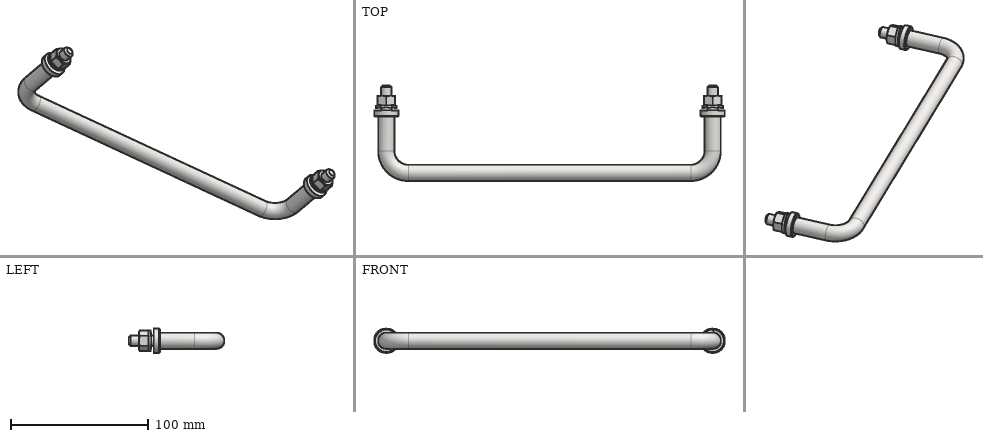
import cadquery as cq
import math


overall_length = 256.0
overall_depth = 70.0
rod_diameter = 12.0
bend_radius = 16.0
stud_diameter = 8.0
stud_chamfer = 1.5

collar_diameter = 18.0
collar_height = 4.5
collar_chamfer = 0.8

nut_across_flats = 13.0
nut_height = 7.0
stud_projection = 7.5
nut_face_diameter = 12.3
nut_chamfer_angle = 30.0

washer_diameter = 15.0
washer_thickness = 1.8
washer_sag = 0.5

leg_offset = (overall_length - collar_diameter) / 2
stud_tip_y = overall_depth - rod_diameter / 2
nut_top_y = stud_tip_y - stud_projection
nut_base_y = nut_top_y - nut_height
collar_base_y = 41.0


def leg_plane(x, y):
    """Plane across a leg, with its normal along +Y and its local x along +X."""
    return cq.Plane(origin=(x, y, 0), xDir=(1, 0, 0), normal=(0, 1, 0))


def make_handle():
    """Bent rod with a thinner, chamfered stud on the end of each leg."""
    bend_start_x = leg_offset - bend_radius
    bend_inset = bend_radius * (1 - math.sqrt(0.5))
    path = (
        cq.Workplane("XY")
        .moveTo(-leg_offset, collar_base_y)
        .lineTo(-leg_offset, bend_radius)
        .threePointArc((-leg_offset + bend_inset, bend_inset), (-bend_start_x, 0))
        .lineTo(bend_start_x, 0)
        .threePointArc((leg_offset - bend_inset, bend_inset), (leg_offset, bend_radius))
        .lineTo(leg_offset, collar_base_y)
    )
    rod = cq.Workplane(leg_plane(-leg_offset, collar_base_y)).circle(rod_diameter / 2).sweep(path)
    for x in (-leg_offset, leg_offset):
        stud = (
            cq.Workplane(leg_plane(x, collar_base_y))
            .circle(stud_diameter / 2)
            .extrude(stud_tip_y - collar_base_y)
            .faces(">Y")
            .chamfer(stud_chamfer)
        )
        rod = rod.union(stud)
    return rod


def make_collar(x):
    """Round collar seated on the rod shoulder, chamfered on the rod side."""
    return (
        cq.Workplane(leg_plane(x, collar_base_y))
        .circle(collar_diameter / 2)
        .extrude(collar_height)
        .faces("<Y")
        .chamfer(collar_chamfer)
        .cut(make_bore(x))
    )


def make_washer(x):
    """Ring cut from a cylindrically arched strip whose crown touches the nut."""
    half_width = washer_diameter / 2
    rim_y = nut_base_y - washer_sag
    strip = (
        cq.Workplane("XY")
        .moveTo(x - half_width, rim_y)
        .threePointArc((x, nut_base_y), (x + half_width, rim_y))
        .lineTo(x + half_width, rim_y - washer_thickness)
        .threePointArc((x, nut_base_y - washer_thickness), (x - half_width, rim_y - washer_thickness))
        .close()
        .extrude(half_width, both=True)
    )
    disc = cq.Workplane(leg_plane(x, collar_base_y)).circle(half_width).extrude(nut_top_y - collar_base_y)
    return strip.intersect(disc).cut(make_bore(x))


def make_nut(x):
    """Hexagon nut with flats facing +X and -X and a conical chamfer on its outer end."""
    corner_radius = nut_across_flats / 2 / math.cos(math.radians(30))
    top_radius = nut_face_diameter / 2
    chamfer_drop = (corner_radius - top_radius) * math.tan(math.radians(nut_chamfer_angle))
    hexagon = (
        cq.Workplane(leg_plane(x, nut_base_y))
        .transformed(rotate=(0, 0, 30))
        .polygon(6, 2 * corner_radius)
        .extrude(nut_height)
    )
    envelope = (
        cq.Workplane(leg_plane(x, nut_base_y))
        .circle(corner_radius)
        .extrude(nut_height)
        .faces(">Y")
        .chamfer(chamfer_drop, corner_radius - top_radius)
    )
    return hexagon.intersect(envelope).cut(make_bore(x))


def make_bore(x):
    """Cutter for the hole that fits around the stud."""
    return (
        cq.Workplane(leg_plane(x, collar_base_y))
        .circle(stud_diameter / 2)
        .extrude(stud_tip_y - collar_base_y)
    )


bodies = [make_handle().val()]
for leg_x in (-leg_offset, leg_offset):
    bodies.append(make_collar(leg_x).val())
    bodies.append(make_washer(leg_x).val())
    bodies.append(make_nut(leg_x).val())

result = cq.Compound.makeCompound(bodies)